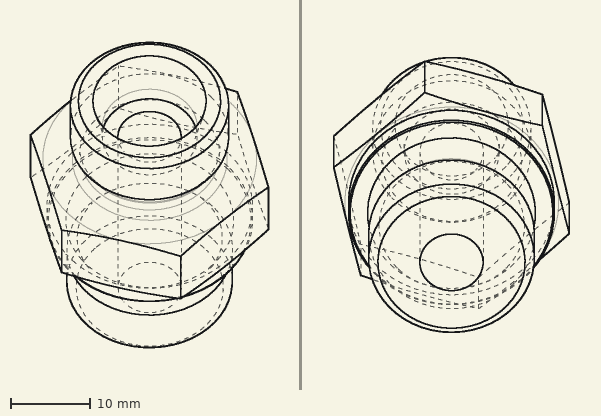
import cadquery as cq
import math

TOTAL_HEIGHT = 39.0
HEX_BOTTOM = 17.0
HEX_TOP = 27.0

HEX_ACROSS_FLATS = 27.03
HEX_CHAMFER_ANGLE = 15.0

LOWER_THREAD_DIAMETER = 20.95
LOWER_THREAD_TOP = 8.0
LOWER_CHAMFER = 1.17
LOWER_GROOVE_DIAMETER = 18.1
LOWER_GROOVE_HEIGHT = 10.4
LOWER_GROOVE_ROUND = 1.0
COLLAR_DIAMETER = 26.0
COLLAR_BOTTOM = 14.0
COLLAR_CHAMFER = 0.2
COLLAR_CONE_DIAMETER = 21.2

UPPER_THREAD_DIAMETER = 20.0
UPPER_THREAD_BOTTOM = 31.55
UPPER_CHAMFER_HEIGHT = 0.95
UPPER_CHAMFER_WIDTH = 1.0
NECK_DIAMETER = 17.7
NECK_TOP = 29.55
NECK_FILLET = 0.95
NECK_TOP_ROUND = 0.7

THROUGH_DIAMETER = 8.0
SOCKET_DIAMETER = 12.0
SOCKET_DEPTH = 7.5
MOUTH_DIAMETER = 14.3
MOUTH_HALF_ANGLE = 12.0


def revolve(profile):
    """Turn a half profile drawn in the XZ plane about the Z axis."""
    return profile.close().revolve(360, (0, 0, 0), (0, 1, 0))


def round_circle(solid, radius, height, fillet_radius):
    """Fillet the full circular edge with the given radius at the given height."""
    slack = 0.05
    box = cq.selectors.BoxSelector(
        (-radius - slack, -radius - slack, height - slack),
        (radius + slack, radius + slack, height + slack),
        boundingbox=True,
    )
    return solid.edges(box).edges("%CIRCLE").fillet(fillet_radius)


def make_lower_stud():
    thread = LOWER_THREAD_DIAMETER / 2
    groove = LOWER_GROOVE_DIAMETER / 2
    collar = COLLAR_DIAMETER / 2
    profile = (
        cq.Workplane("XZ")
        .lineTo(thread - LOWER_CHAMFER, 0)
        .lineTo(thread, LOWER_CHAMFER)
        .lineTo(thread, LOWER_THREAD_TOP)
        .lineTo(groove, LOWER_GROOVE_HEIGHT)
        .lineTo(COLLAR_CONE_DIAMETER / 2, COLLAR_BOTTOM)
        .lineTo(collar - COLLAR_CHAMFER, COLLAR_BOTTOM)
        .lineTo(collar, COLLAR_BOTTOM + COLLAR_CHAMFER)
        .lineTo(collar, HEX_BOTTOM)
        .lineTo(0, HEX_BOTTOM)
    )
    return round_circle(revolve(profile), groove, LOWER_GROOVE_HEIGHT, LOWER_GROOVE_ROUND)


def make_hexagon():
    """Hexagon with corners on Y, both ends chamfered by a cone touching the flats."""
    corner_diameter = HEX_ACROSS_FLATS / math.cos(math.radians(30))
    prism = (
        cq.Workplane("XY")
        .workplane(offset=HEX_BOTTOM)
        .polygon(6, corner_diameter)
        .extrude(HEX_TOP - HEX_BOTTOM)
        .rotate((0, 0, 0), (0, 0, 1), 90)
    )
    flat = HEX_ACROSS_FLATS / 2
    corner = corner_diameter / 2
    drop = (corner - flat) * math.tan(math.radians(HEX_CHAMFER_ANGLE))
    envelope = (
        cq.Workplane("XZ")
        .moveTo(0, HEX_BOTTOM)
        .lineTo(flat, HEX_BOTTOM)
        .lineTo(corner, HEX_BOTTOM + drop)
        .lineTo(corner, HEX_TOP - drop)
        .lineTo(flat, HEX_TOP)
        .lineTo(0, HEX_TOP)
    )
    return prism.intersect(revolve(envelope))


def make_upper_stud():
    thread = UPPER_THREAD_DIAMETER / 2
    neck = NECK_DIAMETER / 2
    profile = (
        cq.Workplane("XZ")
        .moveTo(0, HEX_TOP)
        .lineTo(neck + NECK_FILLET, HEX_TOP)
        .radiusArc((neck, HEX_TOP + NECK_FILLET), NECK_FILLET)
        .lineTo(neck, NECK_TOP)
        .lineTo(thread, UPPER_THREAD_BOTTOM)
        .lineTo(thread, TOTAL_HEIGHT - UPPER_CHAMFER_HEIGHT)
        .lineTo(thread - UPPER_CHAMFER_WIDTH, TOTAL_HEIGHT)
        .lineTo(0, TOTAL_HEIGHT)
    )
    return round_circle(revolve(profile), neck, NECK_TOP, NECK_TOP_ROUND)


def make_bore():
    mouth = MOUTH_DIAMETER / 2
    socket = SOCKET_DIAMETER / 2
    through = THROUGH_DIAMETER / 2
    cone_depth = (mouth - socket) / math.tan(math.radians(MOUTH_HALF_ANGLE))
    profile = (
        cq.Workplane("XZ")
        .lineTo(through, 0)
        .lineTo(through, TOTAL_HEIGHT - SOCKET_DEPTH)
        .lineTo(socket, TOTAL_HEIGHT - SOCKET_DEPTH)
        .lineTo(socket, TOTAL_HEIGHT - cone_depth)
        .lineTo(mouth, TOTAL_HEIGHT)
        .lineTo(0, TOTAL_HEIGHT)
    )
    return revolve(profile)


body = make_lower_stud().union(make_hexagon()).union(make_upper_stud())
result = body.cut(make_bore())